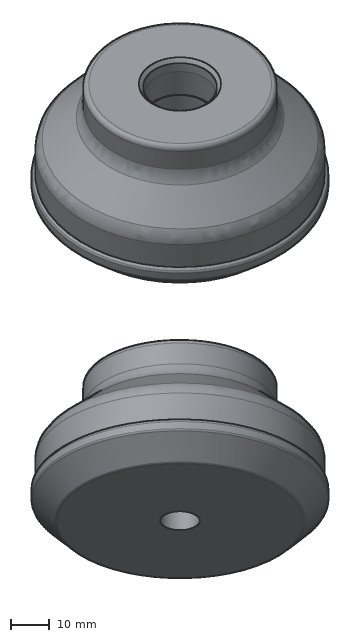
import cadquery as cq
import math

base_radius = 38.2
base_height = 9.85
base_bevel = 6.35
base_rim_top = 9.1
base_edge_fillet = 0.8
base_hole_radius = 5.1
base_hole_chamfer = 0.5

total_height = 40.0
cover_radius = 37.2
neck_radius = 24.9
neck_corner_height = 30.2
cone_angle = 40.0
cone_fillet = 5.0
neck_top_fillet = 1.45

mouth_radius = 10.55
mouth_depth = 1.1
taper_top_radius = 9.5
taper_depth = 2.6
throat_radius = 9.25
throat_depth = 8.0
lower_bore_radius = 9.5


def revolve_profile(points):
    """Revolve a closed (radius, height) outline about the Z axis."""
    return cq.Workplane("XZ").polyline(points).close().revolve(360, (0, 0, 0), (0, 1, 0))


def circle_edges_at(body, radius, height):
    """Select the circular edges of a body with the given radius and height."""
    tolerance = 0.01
    edges = [
        edge for edge in body.edges("%CIRCLE").vals()
        if abs(edge.radius() - radius) < tolerance
        and abs(edge.Center().z - height) < tolerance
    ]
    return body.newObject(edges)


def make_base():
    bottom_radius = base_radius - base_bevel
    outline = [
        (0, 0),
        (bottom_radius, 0),
        (base_radius, base_bevel),
        (base_radius, base_rim_top),
        (cover_radius, base_height),
        (0, base_height),
    ]
    base = revolve_profile(outline)
    for radius, height in outline[1:4]:
        base = circle_edges_at(base, radius, height).fillet(base_edge_fillet)
    base = base.faces(">Z").workplane().hole(2 * base_hole_radius)
    return circle_edges_at(base, base_hole_radius, base_height).chamfer(base_hole_chamfer)


def make_cover_bore():
    mouth_bottom = total_height - mouth_depth
    taper_bottom = mouth_bottom - taper_depth
    throat_bottom = taper_bottom - throat_depth
    return revolve_profile([
        (0, base_height),
        (lower_bore_radius, base_height),
        (lower_bore_radius, throat_bottom),
        (throat_radius, throat_bottom),
        (throat_radius, taper_bottom),
        (taper_top_radius, mouth_bottom),
        (mouth_radius, total_height),
        (0, total_height),
    ])


def make_cover():
    cone_drop = (cover_radius - neck_radius) * math.tan(math.radians(cone_angle))
    shoulder_height = neck_corner_height - cone_drop
    cover = revolve_profile([
        (0, base_height),
        (cover_radius, base_height),
        (cover_radius, shoulder_height),
        (neck_radius, neck_corner_height),
        (neck_radius, total_height),
        (0, total_height),
    ])
    cover = circle_edges_at(cover, cover_radius, shoulder_height).fillet(cone_fillet)
    cover = circle_edges_at(cover, neck_radius, neck_corner_height).fillet(cone_fillet)
    cover = circle_edges_at(cover, neck_radius, total_height).fillet(neck_top_fillet)
    return cover.cut(make_cover_bore())


base = make_base()
cover = make_cover()
result = cq.Compound.makeCompound([base.val(), cover.val()])